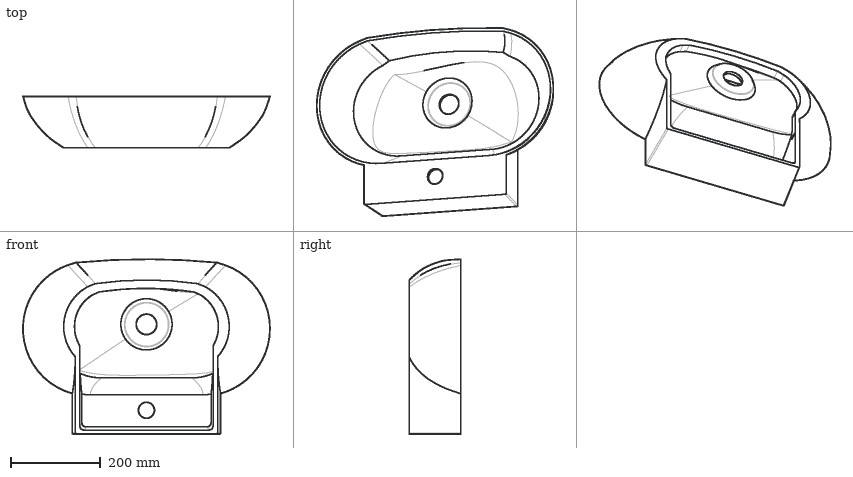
import cadquery as cq
import math

depth = 115.0
wall = 7.0
deck_thickness = 9.0

RIM = {
    "y": 0,
    "half_width": 274.83,
    "radius": 150.0,
    "end_z": -9.5,
    "crown_z": 145.0,
    "crown_half": 157.0,
    "crown_drop": 7.5,
    "corner_width": 18.0,
}
MIDDLE = {
    "y": -depth / 2,
    "half_width": 249.0,
    "radius": 130.0,
    "end_z": -8.0,
    "crown_z": 136.5,
    "crown_half": 145.0,
    "crown_drop": 11.5,
    "corner_width": 15.0,
}
FOOT = {
    "y": -depth,
    "half_width": 184.0,
    "radius": 100.0,
    "end_z": -5.0,
    "crown_z": 98.5,
    "crown_half": 113.5,
    "crown_drop": 8.0,
    "corner_width": 17.0,
}

overall_height = 388.99
box_bottom_z = RIM["crown_z"] - overall_height
box_top_z = -65.0
box_half_width_front = 158.0
box_half_width_back = 165.0
box_edge_radius = 3.0
inside_half_width_front = 148.0
inside_half_width_back = 143.5
inside_bottom_front = box_bottom_z + 9.0
inside_bottom_back = box_bottom_z + 16.0
inside_corner_radius = 9.0
tap_z = -191.0
tap_diameter = 35.0

hollow_half_width = 160.0
hollow_radius = 82.0
hollow_crown_z = 80.0
hollow_crown_half = 105.0
hollow_corner_width = 15.0
hollow_crown_drop = 8.0
hollow_end_z = -5.0
hollow_neck_radius = 20.0
floor_edge_y = -94.0
floor_bottom_z = -112.0
floor_corner_z = -102.0
floor_flat_half = 118.0
floor_overlap = 3.0
hollow_bottom_z = -124.0

boss_base_radius = 57.0
boss_face_radius = 49.0
boss_base_y = -103.5
boss_face_y = -depth
boss_edge_radius = 2.0
drain_diameter = 45.0


def section_plane(y):
    """XZ plane at the given y, whose local axes are world X and Z."""
    return cq.Workplane(cq.Plane(origin=(0, y, 0), xDir=(1, 0, 0), normal=(0, -1, 0)))


def arc_point(center_x, center_z, radius, x):
    """Point of an end arc above its center, at the given x."""
    return (x, center_z + math.sqrt(radius**2 - (x - center_x) ** 2))


def bowl_section(section, inset):
    """Closed outline of one bowl section, moved inwards by inset."""
    radius = section["radius"] - inset
    end_x = section["half_width"] - section["radius"]
    end_z = section["end_z"]
    side_x = end_x + radius
    bottom_z = end_z - radius
    crown_z = section["crown_z"] - inset
    crown_x = section["crown_half"]
    crown_end_z = crown_z - section["crown_drop"]
    corner_x, corner_z = arc_point(end_x, end_z, radius, crown_x + section["corner_width"])
    return (
        section_plane(section["y"])
        .moveTo(-crown_x, crown_end_z)
        .threePointArc((0, crown_z), (crown_x, crown_end_z))
        .lineTo(corner_x, corner_z)
        .threePointArc((side_x, end_z), (end_x, bottom_z))
        .lineTo(-end_x, bottom_z)
        .threePointArc((-side_x, end_z), (-corner_x, corner_z))
        .close()
        .val()
    )


def bowl_form(inset=0.0):
    """Solid bowl lofted through its rim, middle and foot sections."""
    sections = [bowl_section(section, inset) for section in (RIM, MIDDLE, FOOT)]
    return cq.Workplane(cq.Solid.makeLoft(sections))


def shelf_box():
    """Outer block of the tap shelf, wider at the rim than at the underside."""
    plan = [
        (-box_half_width_front, -depth),
        (box_half_width_front, -depth),
        (box_half_width_back, 0),
        (-box_half_width_back, 0),
    ]
    block = (
        cq.Workplane("XY", origin=(0, 0, box_bottom_z))
        .polyline(plan)
        .close()
        .extrude(box_top_z - box_bottom_z)
    )
    side_edges = block.faces("<Z").edges("<X or >X")
    return side_edges.fillet(box_edge_radius)


def shelf_inside():
    """Drafted space under the tap deck."""

    def outline(y, half_width, bottom_z):
        r = inside_corner_radius
        bend = r * (1 - math.sqrt(0.5))
        return (
            section_plane(y)
            .moveTo(-half_width, box_top_z)
            .lineTo(-half_width, bottom_z + r)
            .threePointArc((-half_width + bend, bottom_z + bend), (-half_width + r, bottom_z))
            .lineTo(half_width - r, bottom_z)
            .threePointArc((half_width - bend, bottom_z + bend), (half_width, bottom_z + r))
            .lineTo(half_width, box_top_z)
            .close()
            .val()
        )

    front = outline(-depth, inside_half_width_front, inside_bottom_front)
    back = outline(-deck_thickness, inside_half_width_back, inside_bottom_back)
    return cq.Workplane(cq.Solid.makeLoft([front, back], True))


def hollow_outline():
    """Outline of the hollow: round above, straight-sided within the shelf, flat below."""
    end_x = hollow_half_width - hollow_radius
    side_x = inside_half_width_front
    neck_z = hollow_end_z - math.sqrt(hollow_radius**2 - (side_x - end_x) ** 2)
    corner = arc_point(end_x, hollow_end_z, hollow_radius, hollow_crown_half + hollow_corner_width)
    crown_end_z = hollow_crown_z - hollow_crown_drop
    return (
        section_plane(floor_edge_y)
        .moveTo(-hollow_crown_half, crown_end_z)
        .threePointArc((0, hollow_crown_z), (hollow_crown_half, crown_end_z))
        .lineTo(*corner)
        .threePointArc((hollow_half_width, hollow_end_z), (side_x, neck_z))
        .lineTo(side_x, hollow_bottom_z)
        .lineTo(-side_x, hollow_bottom_z)
        .lineTo(-side_x, neck_z)
        .threePointArc((-hollow_half_width, hollow_end_z), (-corner[0], corner[1]))
        .close()
    )


def foot_hollow():
    """Hollow in the foot, with its narrowing into the shelf rounded off."""
    prism = hollow_outline().extrude(depth + floor_edge_y)
    neck_edges = prism.edges("|Y").edges(cq.selectors.BoxSelector(
        (-hollow_half_width, -depth, hollow_end_z - hollow_radius),
        (hollow_half_width, 0, hollow_end_z),
    ))
    return neck_edges.fillet(hollow_neck_radius)


def floor_edge():
    """Outer edge of the floor funnel: two curves that meet at opposite corners."""
    low = (-inside_half_width_front - floor_overlap, floor_corner_z)
    high = (hollow_crown_half + hollow_corner_width, hollow_crown_z - hollow_crown_drop)
    side_x = hollow_half_width + floor_overlap
    shoulder_z = floor_bottom_z + floor_overlap
    lower = [
        low,
        (-floor_flat_half, shoulder_z),
        (0, floor_bottom_z),
        (floor_flat_half, shoulder_z),
        (-low[0], low[1]),
        (side_x, hollow_end_z),
        high,
    ]
    upper = [
        high,
        (0, hollow_crown_z + floor_overlap),
        (-high[0], high[1]),
        (-side_x, hollow_end_z),
        low,
    ]
    return lower, upper


def drain_floor():
    """Floor funnel and the drain boss standing on it, on the underside."""
    lower, upper = floor_edge()
    edge = section_plane(floor_edge_y).moveTo(*lower[0]).spline(lower[1:], includeCurrent=True)
    edge = edge.spline(upper[1:], includeCurrent=True).wire().val()

    def on_base(angle):
        return (boss_base_radius * math.cos(angle), boss_base_radius * math.sin(angle))

    low_angle = math.atan2(lower[0][1], lower[0][0])
    high_angle = math.atan2(upper[0][1], upper[0][0])
    middle_angle = (low_angle + high_angle) / 2
    boss_base = (
        section_plane(boss_base_y)
        .moveTo(*on_base(low_angle))
        .threePointArc(on_base(middle_angle), on_base(high_angle))
        .threePointArc(on_base(middle_angle + math.pi), on_base(low_angle))
        .wire()
        .val()
    )
    funnel = cq.Workplane(cq.Solid.makeLoft([edge, boss_base], True))
    base_center = cq.Vector(0, boss_base_y, 0)
    outward = cq.Vector(0, -1, 0)
    boss_height = boss_base_y - boss_face_y
    boss = cq.Solid.makeCone(boss_base_radius, boss_face_radius, boss_height, base_center, outward)
    return funnel.union(cq.Workplane(boss).faces("<Y").edges().fillet(boss_edge_radius))


def basin_space(floor):
    """Open space of the basin: the bowl form less its wall, down to the floor and its funnel."""
    floor_top_y = floor_edge_y + wall
    inner_form = bowl_form(wall)
    above_floor = (
        cq.Workplane("XY", origin=(0, floor_top_y, 0))
        .box(2 * RIM["half_width"], -floor_top_y, 2 * overall_height, centered=(True, False, True))
    )
    funnel = floor.translate((0, wall, 0)).intersect(inner_form)
    return inner_form.intersect(above_floor).union(funnel)


def y_hole(diameter, z):
    """Round hole tool along Y through the whole depth."""
    return section_plane(0).center(0, z).circle(diameter / 2).extrude(depth)


bowl = bowl_form()
floor = drain_floor()
hollow = foot_hollow().cut(floor)
basin = basin_space(floor)

under_deck = shelf_inside().cut(bowl)

result = bowl.union(shelf_box())
result = result.cut(hollow).cut(under_deck).cut(basin)
result = result.cut(y_hole(drain_diameter, 0)).cut(y_hole(tap_diameter, tap_z))